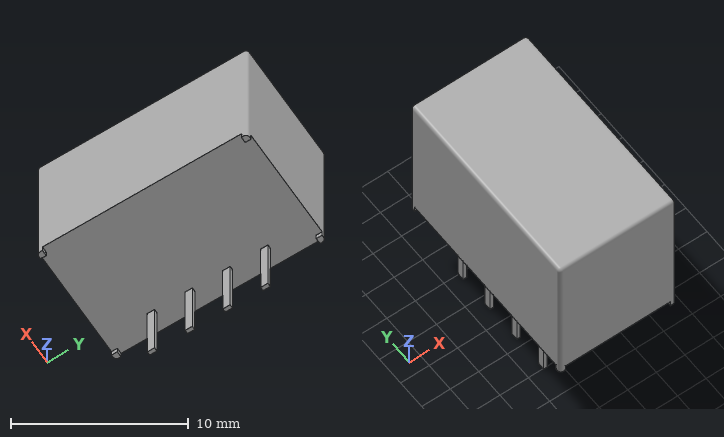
import cadquery as cq

case_width = 8.15
case_length = 14.15
total_height = 14.25
case_height = 10.15
edge_radius = 0.25

foot_size = 0.4
foot_height = 0.4

pin_count = 4
pin_pitch = 2.54
pin_thickness = 0.25
pin_width = 0.5
pin_row_x = -2.85

underside_z = foot_height
pin_tip_z = case_height - total_height


def make_case():
    """Block with rounded top and side edges, standing on four corner feet."""
    block = (
        cq.Workplane("XY")
        .box(case_width, case_length, case_height, centered=(True, True, False))
        .edges("|Z or >Z")
        .fillet(edge_radius)
    )
    channel_along_y = cq.Workplane("XY").box(
        case_width - 2 * foot_size, case_length, foot_height, centered=(True, True, False)
    )
    channel_along_x = cq.Workplane("XY").box(
        case_width, case_length - 2 * foot_size, foot_height, centered=(True, True, False)
    )
    return block.cut(channel_along_y).cut(channel_along_x)


def make_pins():
    """Row of rectangular pins along Y, from the underside down to the tips."""
    return (
        cq.Workplane("XY", origin=(pin_row_x, 0, pin_tip_z))
        .rarray(0.14, pin_pitch, 1, pin_count)
        .rect(pin_thickness, pin_width)
        .extrude(underside_z - pin_tip_z)
    )


result = make_case().union(make_pins())